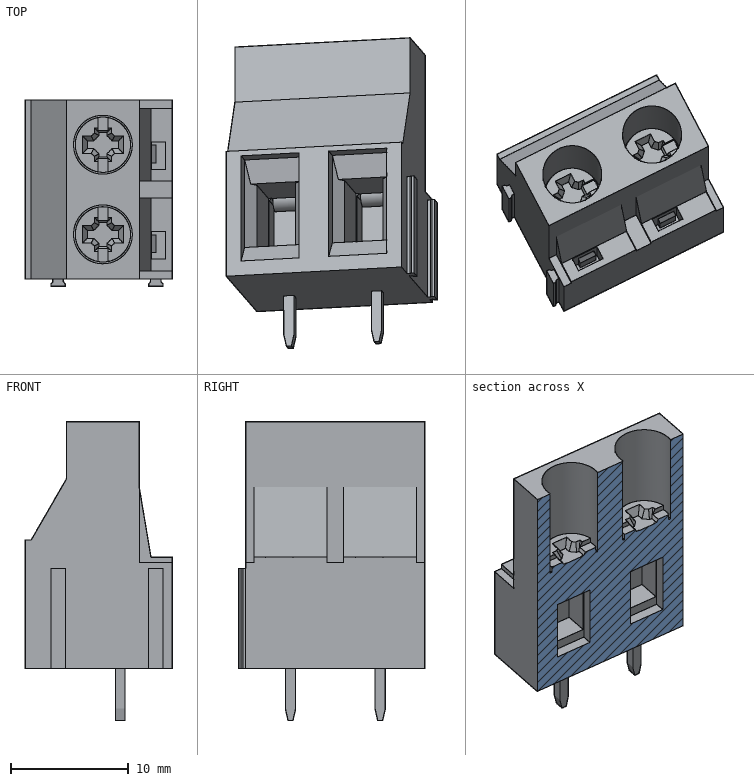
import cadquery as cq
import math


pole_count = 2
pole_pitch = 7.62
housing_width = pole_count * pole_pitch
housing_depth = 12.5
total_height = 25.4
pin_length = 4.42
housing_height = total_height - pin_length
front_height = 10.95
front_ledge = 0.5
tower_front = 3.5
tower_back = 9.7
slope_angle = 30.0
slope_top = front_height + (tower_front - front_ledge) / math.tan(math.radians(slope_angle))
rear_step_height = 9.02

bay_width = 6.2
bay_shelf_height = 9.47
bay_slope_foot = 10.7
bay_slope_top = 15.4

slot_start = 10.75
slot_length = 1.17
slot_width = 2.34
slot_offset = -0.95
slot_depth = 3.05
tab_length = 0.35
tab_width = 1.5
tab_offset = -0.8
tab_top_drop = 1.02

shaft_diameter = 5.0
head_diameter = 4.7
shaft_x = (tower_front + tower_back) / 2
shaft_depth = 7.62
head_height = 1.02
head_top = housing_height - shaft_depth
drive_slot_width = 0.86
drive_slot_depth = 0.45
cross_length_x = 3.45
cross_length_y = 2.87
cross_arm_width = 1.47
cross_depth = 0.75
cross_inset = 0.4
cross_core_top = 2.45
cross_core_inset = 0.43

entry_width = 5.03
entry_bottom = 1.27
entry_top = 10.5
throat_width = 3.33
throat_bottom = 2.82
throat_top = 8.48
funnel_start = 1.47
funnel_end = 2.51
ceiling_slope_end = funnel_start + 0.5
throat_end = 7.1

cage_width = 3.18
cage_bottom = 3.68
cage_end = 9.15
cage_corner = 0.2
roll_width = 2.62
roll_diameter = 1.83

rib_centers = (2.8, 11.1)
rib_height = 8.5
rib_depth = 0.6
rib_width = 1.25
rib_neck_width = 0.91
rib_neck_end = 0.23
rib_flare_end = 0.4

pin_x = 8.08
pin_thickness = 0.85
pin_width = 0.9
pin_tip_width = 0.43
pin_taper_length = 1.0
pin_root = 0.5

pole_centers = [pole_pitch * (index + 0.5) for index in range(pole_count)]


def box(x_range, y_center, width, z_range):
    """Box between two X and two Z values, centred on y_center."""
    length = x_range[1] - x_range[0]
    height = z_range[1] - z_range[0]
    corner = (x_range[0], y_center - width / 2, z_range[0])
    return cq.Workplane("XY").box(length, width, height, centered=False).translate(corner)


def side_prism(points, y_center, width):
    """Prism along Y from an X-Z outline, centred on y_center."""
    plane = cq.Workplane("XZ", origin=(0, y_center, 0))
    return plane.polyline(points).close().extrude(width / 2, both=True)


def housing():
    outline = [
        (0, 0),
        (housing_depth, 0),
        (housing_depth, rear_step_height),
        (tower_back, rear_step_height),
        (tower_back, housing_height),
        (tower_front, housing_height),
        (tower_front, slope_top),
        (front_ledge, front_height),
        (0, front_height),
    ]
    return side_prism(outline, housing_width / 2, housing_width)


def rear_bay(y):
    outline = [
        (tower_back, rear_step_height),
        (housing_depth, rear_step_height),
        (housing_depth, bay_shelf_height),
        (bay_slope_foot, bay_shelf_height),
        (tower_back, bay_slope_top),
    ]
    return side_prism(outline, y, bay_width)


def test_slot(y):
    slot_floor = bay_shelf_height - slot_depth
    tab_end = slot_start + tab_length
    tab_top = bay_shelf_height - tab_top_drop
    slot = box((slot_start, slot_start + slot_length), y + slot_offset, slot_width,
               (slot_floor, bay_shelf_height))
    tab_outline = [
        (slot_start, slot_floor),
        (tab_end, slot_floor),
        (tab_end, tab_top - tab_length),
        (slot_start, tab_top),
    ]
    return slot.cut(side_prism(tab_outline, y + tab_offset, tab_width))


def frustum(length, width, inset=cross_inset):
    """Rectangular pit with its mouth at Z = 0, every wall leaning in by inset."""
    return (
        cq.Workplane("XY").rect(length, width)
        .workplane(offset=-cross_depth).rect(length - 2 * inset, width - 2 * inset)
        .loft(ruled=True)
    )


def cross_recess():
    """Tapered cross, its mouth at Z = 0, with inner corners cut back by a square turned 45 degrees."""
    corner_cut = frustum(cross_core_top, cross_core_top, cross_core_inset)
    corner_cut = corner_cut.rotate((0, 0, 0), (0, 0, 1), 45)
    core = corner_cut.intersect(frustum(cross_length_x, cross_length_y))
    arm_x = frustum(cross_length_x, cross_arm_width)
    arm_y = frustum(cross_arm_width, cross_length_y)
    return core.union(arm_x).union(arm_y)


def screw_shaft(y):
    """Space around and above the screw head, including its drive recess."""
    shaft = (
        cq.Workplane("XY", origin=(0, 0, head_top - head_height))
        .circle(shaft_diameter / 2).extrude(shaft_depth + head_height)
    )
    head = (
        cq.Workplane("XY", origin=(0, 0, head_top - head_height))
        .circle(head_diameter / 2).extrude(head_height)
    )
    drive_slot = box((-drive_slot_width / 2, drive_slot_width / 2), 0, head_diameter,
                     (head_top - drive_slot_depth, head_top))
    head = head.cut(drive_slot).cut(cross_recess().translate((0, 0, head_top)))
    return shaft.cut(head).translate((shaft_x, y, 0))


def wire_entry(y):
    """Funnel that narrows to a straight throat, then the clamp cage with its pressure roll."""
    side_outline = [
        (0, entry_bottom),
        (funnel_start, throat_bottom),
        (throat_end, throat_bottom),
        (throat_end, throat_top),
        (ceiling_slope_end, throat_top),
        (funnel_start, entry_top),
        (0, entry_top),
    ]
    half_entry = entry_width / 2
    half_throat = throat_width / 2
    plan_outline = [
        (0, -half_entry),
        (funnel_start, -half_entry),
        (funnel_end, -half_throat),
        (throat_end, -half_throat),
        (throat_end, half_throat),
        (funnel_end, half_throat),
        (funnel_start, half_entry),
        (0, half_entry),
    ]
    plan = cq.Workplane("XY", origin=(0, y, 0)).polyline(plan_outline).close().extrude(entry_top)
    funnel = side_prism(side_outline, y, entry_width).intersect(plan)

    cage = box((throat_end, cage_end), y, cage_width, (cage_bottom, throat_top))
    cage = cage.edges("|X and >Z").chamfer(cage_corner)
    roll = (
        cq.Workplane("XZ", origin=((throat_end + cage_end) / 2, y, throat_top))
        .circle(roll_diameter / 2).extrude(roll_width / 2, both=True)
    )
    return funnel.union(cage.cut(roll))


def rib(x):
    half_neck = rib_neck_width / 2
    half_width = rib_width / 2
    outline = [
        (x - half_neck, 0),
        (x - half_neck, -rib_neck_end),
        (x - half_width, -rib_flare_end),
        (x - half_width, -rib_depth),
        (x + half_width, -rib_depth),
        (x + half_width, -rib_flare_end),
        (x + half_neck, -rib_neck_end),
        (x + half_neck, 0),
    ]
    return cq.Workplane("XY").polyline(outline).close().extrude(rib_height)


def pin(y):
    half_width = pin_width / 2
    half_tip = pin_tip_width / 2
    taper_start = pin_taper_length - pin_length
    outline = [
        (y - half_width, pin_root),
        (y - half_width, taper_start),
        (y - half_tip, -pin_length),
        (y + half_tip, -pin_length),
        (y + half_width, taper_start),
        (y + half_width, pin_root),
    ]
    plane = cq.Workplane("YZ", origin=(pin_x, 0, 0))
    return plane.polyline(outline).close().extrude(pin_thickness / 2, both=True)


result = housing()
for rib_x in rib_centers:
    result = result.union(rib(rib_x))
for pole_y in pole_centers:
    result = result.union(rear_bay(pole_y)).union(pin(pole_y))
    result = result.cut(test_slot(pole_y)).cut(screw_shaft(pole_y)).cut(wire_entry(pole_y))